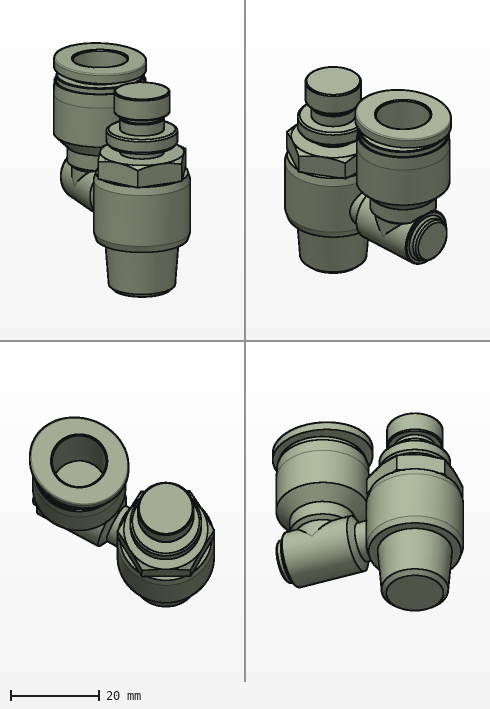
import cadquery as cq
import math


port_x = -22.55
arm_z = 18.5
port_top = 48.0

body_radius = 11.0
body_bottom = 12.0
body_top = 27.6
body_chamfer_radial = 0.55
body_top_chamfer_height = 1.8
body_bottom_chamfer_height = 1.7
thread_root_radius = 8.45
thread_tip_radius = 7.6
thread_chamfer_radial = 1.1
thread_chamfer_height = 1.0

hex_flats = 19.0
hex_top = 32.5
hex_chamfer_angle = 28.0

stem_radius = 5.0
stem_top = 40.9
stem_chamfer = 0.25
knob_neck_radius = 4.65
knob_radius = 6.35
knob_bottom = 42.0
knob_top = 47.15
knob_chamfer = 0.3
ring_radius = 8.05
ring_bottom = 34.5
ring_top = 38.0
ring_chamfer_radial = 0.5
ring_chamfer_top = 0.4
ring_chamfer_bottom = 0.6

arm_radius = 6.5
arm_left = -7.55
arm_right = 8.55
arm_edge_chamfer = 0.25
arm_neck_radius = 4.55
arm_neck_start = 9.7
plug_flange_radius = 5.5
plug_flange_left = -8.2
plug_radius = 5.0
plug_left = -9.5
plug_chamfer = 0.45

socket_radius = 10.55
socket_bottom = 30.35
socket_straight_top = 39.7
shoulder_radius = 10.35
shoulder_z = 42.8
cap_radius = 10.0
cap_top = 44.2
cap_chamfer = 0.2
port_stem_radius = 7.5
port_stem_top = socket_bottom - (socket_radius - port_stem_radius)
port_stem_bottom = 23.65
port_stem_chamfer_height = 0.85
collar_radius = 7.4
flange_half_length = 11.5
flange_half_width = 10.2
flange_bottom = 45.75
flange_rounding = 0.3
bore_radius = 6.15
bore_floor = socket_bottom
bore_chamfer = 0.3


def turned(points):
    """Solid of revolution about Z from (radius, z) points, closed along the axis."""
    bottom = points[0][1]
    top = points[-1][1]
    outline = [(0, bottom)] + points + [(0, top)]
    return cq.Workplane("XZ").polyline(outline).close().revolve(360, (0, 0), (0, 1))


def disc(radius, bottom, top):
    return turned([(radius, bottom), (radius, top)])


def make_valve_body():
    chamfered_radius = body_radius - body_chamfer_radial
    return turned([
        (thread_tip_radius - thread_chamfer_radial, 0),
        (thread_tip_radius, thread_chamfer_height),
        (thread_root_radius, body_bottom),
        (chamfered_radius, body_bottom),
        (body_radius, body_bottom + body_bottom_chamfer_height),
        (body_radius, body_top - body_top_chamfer_height),
        (chamfered_radius, body_top),
    ])


def make_hexagon():
    corner_radius = hex_flats / math.sqrt(3)
    corner_drop = (corner_radius - hex_flats / 2) * math.tan(math.radians(hex_chamfer_angle))
    prism = (
        cq.Workplane("XY", origin=(0, 0, body_top))
        .polygon(6, 2 * corner_radius)
        .extrude(hex_top - body_top)
        .rotate((0, 0, 0), (0, 0, 1), 30)
    )
    chamfer_envelope = turned([
        (corner_radius, body_top),
        (corner_radius, hex_top - corner_drop),
        (hex_flats / 2, hex_top),
    ])
    return prism.intersect(chamfer_envelope)


def make_stem():
    return turned([
        (stem_radius, hex_top),
        (stem_radius, ring_bottom),
        (ring_radius - ring_chamfer_radial, ring_bottom),
        (ring_radius, ring_bottom + ring_chamfer_bottom),
        (ring_radius, ring_top - ring_chamfer_top),
        (ring_radius - ring_chamfer_radial, ring_top),
        (stem_radius, ring_top),
        (stem_radius, stem_top - stem_chamfer),
        (stem_radius - stem_chamfer, stem_top),
        (knob_neck_radius, stem_top),
        (knob_neck_radius, knob_bottom),
        (knob_radius - knob_chamfer, knob_bottom),
        (knob_radius, knob_bottom + knob_chamfer),
        (knob_radius, knob_top - knob_chamfer),
        (knob_radius - knob_chamfer, knob_top),
    ])


def make_arm():
    """Arm turned about Z, then laid along X; it runs into the middle of the valve body."""
    arm = turned([
        (plug_radius - plug_chamfer, plug_left),
        (plug_radius, plug_left + plug_chamfer),
        (plug_radius, arm_left),
        (arm_radius - arm_edge_chamfer, arm_left),
        (arm_radius, arm_left + arm_edge_chamfer),
        (arm_radius, arm_right),
        (arm_neck_radius, arm_neck_start),
        (arm_neck_radius, -port_x),
    ])
    plug_flange = disc(plug_flange_radius, plug_flange_left, arm_left)
    plug_flange = plug_flange.edges("<Z").fillet(plug_flange_radius - plug_radius)
    arm = arm.union(plug_flange)
    return arm.rotate((0, 0, 0), (0, 1, 0), 90).translate((port_x, 0, arm_z))


def make_port():
    socket = (
        cq.Workplane("XZ")
        .moveTo(0, arm_z)
        .lineTo(arm_radius, arm_z)
        .lineTo(arm_radius, port_stem_bottom - port_stem_chamfer_height)
        .lineTo(port_stem_radius, port_stem_bottom)
        .lineTo(port_stem_radius, port_stem_top)
        .lineTo(socket_radius, socket_bottom)
        .lineTo(socket_radius, socket_straight_top)
        .tangentArcPoint((shoulder_radius, shoulder_z), relative=False)
        .lineTo(cap_radius, shoulder_z)
        .lineTo(cap_radius, cap_top - cap_chamfer)
        .lineTo(cap_radius - cap_chamfer, cap_top)
        .lineTo(0, cap_top)
        .close()
        .revolve(360, (0, 0), (0, 1))
    )
    collar = disc(collar_radius, cap_top, flange_bottom)
    flange = (
        cq.Workplane("XY", origin=(0, 0, flange_bottom))
        .ellipse(flange_half_length, flange_half_width)
        .extrude(port_top - flange_bottom)
        .faces(">Z")
        .fillet(flange_rounding)
    )
    bore = turned([
        (bore_radius, bore_floor),
        (bore_radius, port_top - bore_chamfer),
        (bore_radius + bore_chamfer, port_top),
    ])
    port = socket.union(collar).union(flange).cut(bore)
    return port.translate((port_x, 0, 0))


valve = make_valve_body().union(make_hexagon()).union(make_stem())
result = valve.union(make_arm()).union(make_port())